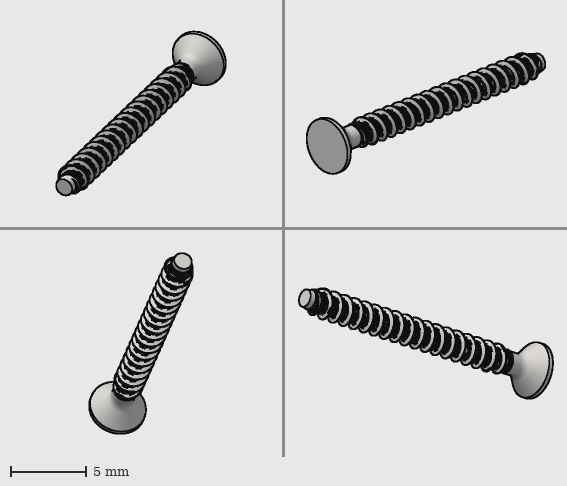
import cadquery as cq
import math

screw_length = 20.0

head_radius = 1.9
head_half_angle = math.radians(43.5)
neck_radius = 0.77
neck_blend_radius = 0.75
neck_blend_end = 1.82
neck_end = 2.48

core_radius = 0.67
tip_radius = 0.6
tip_shoulder_radius = 0.65
tip_taper_length = 0.36
crest_radius = 1.02
thread_pitch = 0.89
crest_width = 0.03
root_width = 0.25
crest_depth_at_plus_x = 2.4275
run_in_length = 0.84
run_out_length = 0.8
trim_clearance = 0.1
flank_steps = 4


def make_head_and_neck():
    """Countersunk head blending into the plain neck, turned about Y."""
    cone_end_radius = neck_radius + neck_blend_radius * (1 - math.cos(head_half_angle))
    cone_end = neck_blend_end - neck_blend_radius * math.sin(head_half_angle)
    rim_depth = cone_end - (head_radius - cone_end_radius) / math.tan(head_half_angle)
    outline = (
        cq.Workplane("XY")
        .lineTo(head_radius, 0)
        .lineTo(head_radius, -rim_depth)
        .lineTo(cone_end_radius, -cone_end)
        .tangentArcPoint((neck_radius, -neck_blend_end), relative=False)
        .lineTo(neck_radius, -neck_end)
        .lineTo(0, -neck_end)
        .close()
    )
    return outline.revolve(360, (0, 0, 0), (0, 1, 0))


def polar_point(radius, angle):
    return cq.Vector(radius * math.cos(angle), radius * math.sin(angle), 0)


def flank_edge(start_radius, end_radius, start_angle, end_angle):
    """Archimedean spiral: the cross-section of a straight thread flank."""
    points = []
    for step in range(flank_steps + 1):
        t = step / flank_steps
        radius = start_radius + t * (end_radius - start_radius)
        points.append(polar_point(radius, start_angle + t * (end_angle - start_angle)))
    return cq.Edge.makeSpline(points)


def arc_edge(radius, start_angle, end_angle):
    middle = polar_point(radius, (start_angle + end_angle) / 2)
    return cq.Edge.makeThreePointArc(polar_point(radius, start_angle), middle, polar_point(radius, end_angle))


def make_threaded_rod():
    """Core and full-height thread: the cross-section twisted along Z, then laid along -Y."""
    rod_length = screw_length - neck_end
    twist = 360 * rod_length / thread_pitch
    crest_half_angle = math.pi * crest_width / thread_pitch
    root_half_angle = math.pi * root_width / thread_pitch
    section = cq.Wire.assembleEdges(
        [
            flank_edge(core_radius, crest_radius, -root_half_angle, -crest_half_angle),
            arc_edge(crest_radius, -crest_half_angle, crest_half_angle),
            flank_edge(crest_radius, core_radius, crest_half_angle, root_half_angle),
            arc_edge(core_radius, root_half_angle, 2 * math.pi - root_half_angle),
        ]
    )
    rod = cq.Workplane("XY").add(section).toPending().twistExtrude(rod_length, twist)
    start_angle = 360 * (neck_end - crest_depth_at_plus_x) / thread_pitch
    phased = rod.rotate((0, 0, 0), (0, 0, 1), start_angle)
    return phased.rotate((0, 0, 0), (1, 0, 0), 90).translate((0, -neck_end, 0))


def make_thread_envelope():
    """Turned shape that fades the thread in below the neck and out towards the tip."""
    clear_radius = crest_radius + trim_clearance
    run_in_slope = (crest_radius - neck_radius) / run_in_length
    run_out_slope = (crest_radius - tip_shoulder_radius) / run_out_length
    run_in_end = neck_end + (clear_radius - neck_radius) / run_in_slope
    run_out_end = screw_length - tip_taper_length
    run_out_start = run_out_end - (clear_radius - tip_shoulder_radius) / run_out_slope
    outline = (
        cq.Workplane("XY")
        .moveTo(0, -neck_end)
        .lineTo(neck_radius, -neck_end)
        .lineTo(clear_radius, -run_in_end)
        .lineTo(clear_radius, -run_out_start)
        .lineTo(tip_shoulder_radius, -run_out_end)
        .lineTo(tip_radius, -screw_length)
        .lineTo(0, -screw_length)
        .close()
    )
    return outline.revolve(360, (0, 0, 0), (0, 1, 0))


threaded_shank = make_threaded_rod().intersect(make_thread_envelope())
result = make_head_and_neck().union(threaded_shank)